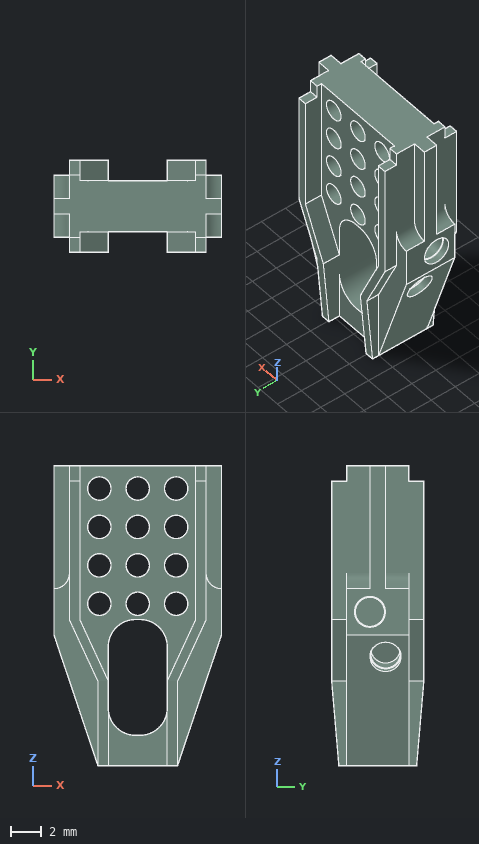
import cadquery as cq
import math

height = 19.5
ear_half_width = 5.45
flange_depth = 6.0
ear_depth = 4.05
web_depth = 3.32
top_step = 1.0

flange_half_width = 4.45
flange_inner_half = 3.76
tip_half_width = 2.6
tip_inner_half = 1.91
upper_bend = height - 10.0
lower_bend = height - 14.0
tip_depth = 5.07

ear_top = height - 8.0
ear_bend = height - 11.0
ear_fillet = ear_half_width - flange_half_width
rib_depth = 1.03

hole_diameter = 1.5
hole_pitch = 2.5
hole_columns = 3
hole_rows = 4
first_hole_drop = 1.48
slot_width = 2 * tip_inner_half
slot_top = upper_bend
slot_bottom = 1.99
slot_radius = 1.75

pocket_mouth_diameter = 2.0
pocket_diameter = 1.9
pocket_mouth_depth = 0.55
pocket_depth = 1.56
pocket_offset = 0.5
upper_pocket_height = height - 9.5
lower_pocket_height = height - 12.42


def mirrored_profile(right_side, depth):
    """Extrude an outline symmetric about X = 0, given its right side from bottom to top."""
    left_side = [(-x, z) for x, z in reversed(right_side)]
    outline = cq.Workplane("XZ").polyline(right_side + left_side).close()
    return outline.extrude(depth / 2, both=True)


def make_flanges():
    outer = [(tip_half_width, 0), (tip_half_width, lower_bend),
             (flange_half_width, upper_bend), (flange_half_width, height)]
    inner = [(tip_inner_half, 0), (tip_inner_half, lower_bend),
             (flange_inner_half, upper_bend), (flange_inner_half, height)]
    flanges = mirrored_profile(outer, flange_depth).cut(mirrored_profile(inner, flange_depth))
    half_silhouette = [
        (tip_depth / 2, 0),
        (flange_depth / 2, lower_bend),
        (flange_depth / 2, height - top_step),
        (ear_depth / 2, height - top_step),
        (ear_depth / 2, height),
    ]
    other_half = [(-y, z) for y, z in reversed(half_silhouette)]
    silhouette = cq.Workplane("YZ").polyline(half_silhouette + other_half).close()
    web = mirrored_profile(outer, web_depth)
    return flanges.intersect(silhouette.extrude(ear_half_width, both=True)).union(web)


def make_ear():
    """Right-hand ear: tapered block with a concave top, plus the rib rising above it."""
    block = (
        cq.Workplane("XZ")
        .moveTo(tip_inner_half, 0)
        .lineTo(tip_half_width, 0)
        .lineTo(ear_half_width, ear_bend)
        .lineTo(ear_half_width, ear_top)
        .radiusArc((flange_half_width, ear_top + ear_fillet), ear_fillet)
        .lineTo(flange_inner_half, ear_top + ear_fillet)
        .lineTo(flange_inner_half, upper_bend)
        .lineTo(tip_inner_half, lower_bend)
        .close()
        .extrude(ear_depth / 2, both=True)
    )
    rib = cq.Workplane("XY").box(
        ear_half_width - flange_inner_half, rib_depth, height - ear_bend, centered=(False, True, False)
    ).translate((flange_inner_half, 0, ear_bend))
    return block.union(rib)


def make_pocket(mouth_center, inward):
    plane = cq.Plane(origin=mouth_center, xDir=(0, 1, 0), normal=inward)
    mouth = cq.Workplane(plane).circle(pocket_mouth_diameter / 2).extrude(pocket_mouth_depth)
    bore = cq.Workplane(plane).circle(pocket_diameter / 2).extrude(pocket_depth)
    return mouth.union(bore)


def make_ear_pockets():
    """Right-hand pockets: one in the upright face, one square to the tapered face."""
    upper = make_pocket((ear_half_width, -pocket_offset, upper_pocket_height), (-1, 0, 0))
    taper_run = ear_half_width - tip_half_width
    taper_angle = math.atan2(taper_run, ear_bend)
    lower_x = tip_half_width + taper_run * lower_pocket_height / ear_bend
    inward = (-math.cos(taper_angle), 0, math.sin(taper_angle))
    lower = make_pocket((lower_x, pocket_offset, lower_pocket_height), inward)
    return upper.union(lower)


def make_web_holes():
    middle_height = height - first_hole_drop - (hole_rows - 1) * hole_pitch / 2
    return (
        cq.Workplane("XZ")
        .center(0, middle_height)
        .rarray(hole_pitch, hole_pitch, hole_columns, hole_rows)
        .circle(hole_diameter / 2)
        .extrude(flange_depth, both=True)
    )


def make_slot():
    slot = cq.Workplane("XY").box(slot_width, flange_depth, slot_top - slot_bottom)
    return slot.edges("|Y").fillet(slot_radius).translate((0, 0, (slot_top + slot_bottom) / 2))


ear = make_ear()
pockets = make_ear_pockets()
result = (
    make_flanges()
    .union(ear)
    .union(ear.mirror("YZ"))
    .cut(make_web_holes())
    .cut(make_slot())
    .cut(pockets)
    .cut(pockets.mirror("YZ"))
)